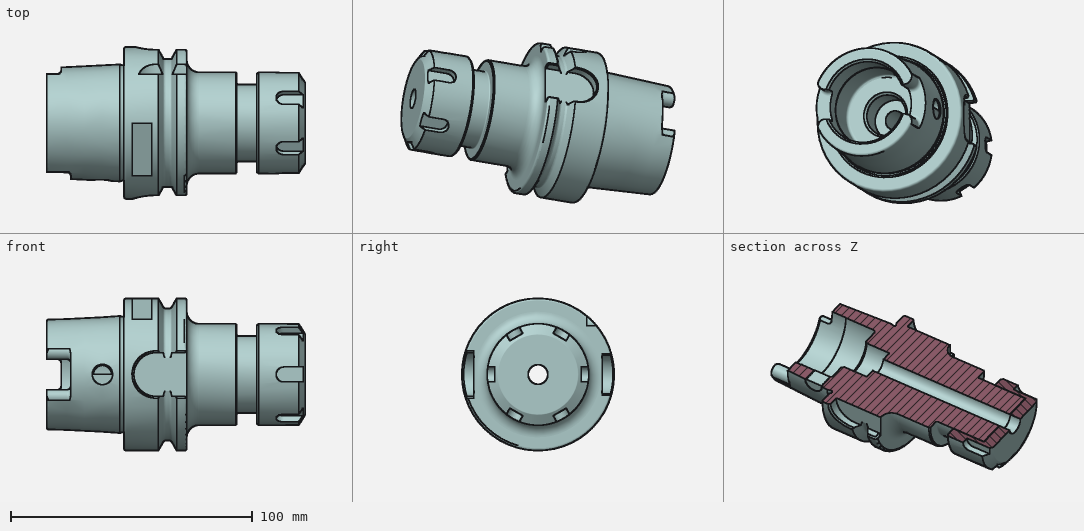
import cadquery as cq
import math


shank_length = 32.0
shank_end_radius = 22.72
shank_root_radius = 24.25
shank_end_fillet = 1.0
relief_start = -1.7
relief_end = -0.6
relief_radius = 23.9
face_groove_radius = 25.6
face_groove_floor_radius = 24.75
face_groove_depth = 0.5

flange_radius = 31.5
flange_width = 26.0
flange_fillet = 1.0
vee_center = 18.0
vee_bottom_radius = 27.36
vee_bottom_half_width = 1.4
vee_half_angle = 30.0
vee_bottom_fillet = 1.0
vee_rim_half_width = 3.8
vee_rim_depth = 0.4
vee_seam_angle = 10.0

body_radius = 21.0
body_end = 46.6
body_fillet = 5.0
body_chamfer = 0.5
neck_radius = 16.0
neck_fillet = 0.5

nut_start = 54.8
nut_end = 75.0
nut_radius = 21.0
nut_back_chamfer = 0.8
nut_cone_start = 72.2
nut_face_radius = 16.6
nut_face_fillet = 0.5
nut_wall = 5.0
nut_slot_count = 6
nut_slot_width = 6.2
nut_slot_start = 62.9
nut_slot_floor = 17.9

bore_mouth_radius = 17.0
bore_mouth_chamfer = 0.9
bore_step = -19.2
bore_radius = 16.86
bore_floor = -4.5
bore_floor_fillet = 1.15
seat_radius = 8.5
seat_depth = 12.0
seat_chamfer = 1.0
coolant_radius = 4.0

drive_half_width = 6.27
drive_edge_radius = 3.0
drive_floor_fillet = 1.5
front_drive_depth = 10.0
rear_drive_depth = 6.0

gripper_center = 13.1
gripper_floor = 26.5
front_gripper_width = 18.0
rear_gripper_width = 16.0
front_gripper_chamfer = 0.8
rear_gripper_chamfer = 0.5
notch_offset = 20.1
notch_radius = 8.0
flat_start = 3.5
flat_width = 7.9
flat_distance = 29.25
flat_angle = 21.8

access_position = -8.9
access_rim_radius = 4.2
access_rim_floor = 23.45
access_radius = 3.75

reach = 2 * flange_radius


def cylinder(radius, start, end):
    return cq.Workplane("YZ", origin=(start, 0, 0)).circle(radius).extrude(end - start)


def revolve_about_x(points):
    """Revolve a closed outline of (X, radius) points about the X axis."""
    return cq.Workplane("XY").polyline(points).close().revolve(360, (0, 0, 0), (1, 0, 0))


def make_shank():
    shank = revolve_about_x([
        (-shank_length, 0),
        (-shank_length, shank_end_radius),
        (relief_start, shank_root_radius),
        (relief_end, relief_radius),
        (face_groove_depth, relief_radius),
        (face_groove_depth, 0),
    ])
    return shank.faces("<X").edges().fillet(shank_end_fillet)


def gripper_slot(side, width):
    """Round-ended slot cutter on the +Y (side = 1) or -Y (side = -1) flank of the flange."""
    straight = reach - gripper_center
    plane = cq.Workplane("XZ", origin=(0, side * gripper_floor, 0))
    round_end = plane.center(gripper_center, 0).circle(width / 2).extrude(-side * reach)
    channel = (plane.center(gripper_center + straight / 2, 0)
               .rect(straight, width).extrude(-side * reach))
    return round_end.union(channel)


def slot_rim_edges(flange, side, width, end):
    """Edges where a gripper slot breaks out through the flange rim."""
    half = width / 2 + 0.1
    box = cq.selectors.BoxSelector(
        (gripper_center - half, side * (flange_radius - 2.0), -half),
        (end - 1.5 * flange_fillet, side * (flange_radius + 1), half))
    return flange.edges(box)


def vee_groove():
    """Ring cutter for the gripper groove, with rounded bottom corners and broken rims."""
    rise = flange_radius - vee_rim_depth - vee_bottom_radius
    shoulder_half_width = vee_bottom_half_width + rise * math.tan(math.radians(vee_half_angle))
    rim_slope = (vee_rim_half_width - shoulder_half_width) / vee_rim_depth
    clear_half_width = vee_rim_half_width + rim_slope * vee_rim_depth
    half_outline = [
        (vee_bottom_half_width, vee_bottom_radius),
        (shoulder_half_width, flange_radius - vee_rim_depth),
        (clear_half_width, flange_radius + vee_rim_depth),
    ]
    right = [(vee_center + half, radius) for half, radius in half_outline]
    left = [(vee_center - half, radius) for half, radius in reversed(half_outline)]
    ring = revolve_about_x(right + left)
    bottom = cq.selectors.BoxSelector(
        (vee_center - vee_bottom_half_width - 0.1, -flange_radius, -flange_radius),
        (vee_center + vee_bottom_half_width + 0.1, flange_radius, flange_radius))
    ring = ring.edges("%CIRCLE").edges(bottom).fillet(vee_bottom_fillet)
    return ring.rotate((0, 0, 0), (1, 0, 0), vee_seam_angle)


def orientation_notch():
    """Corner cut on the +Y +Z side: flat floor facing +Y, round-ended side wall facing +Z."""
    floor_plane = cq.Workplane("XZ", origin=(0, notch_offset, 0))
    round_end = (floor_plane.center(gripper_center, notch_offset + notch_radius)
                 .circle(notch_radius).extrude(-reach))
    straight = reach - gripper_center
    channel = (floor_plane
               .center(gripper_center + straight / 2, notch_offset + notch_radius)
               .rect(straight, 2 * notch_radius).extrude(-reach))
    return round_end.union(channel)


def marking_flat():
    """Cutter for the flat on the flange rim, leaning from +Z towards -Y."""
    return (cq.Workplane("XY", origin=(flat_start, 0, 0))
            .box(flat_width, reach, flange_radius, centered=(False, True, False))
            .translate((0, 0, flat_distance))
            .rotate((0, 0, 0), (1, 0, 0), flat_angle))


def face_groove():
    """Conical recess in the flange face around the root of the shank."""
    return revolve_about_x([
        (0, 0),
        (0, face_groove_radius),
        (face_groove_depth, face_groove_floor_radius),
        (face_groove_depth, 0),
    ])


def make_flange():
    flange = cylinder(flange_radius, 0, flange_width)
    flange = flange.edges().fillet(flange_fillet)
    flange = flange.cut(face_groove())
    for side, width, chamfer in (
        (-1, front_gripper_width, front_gripper_chamfer),
        (1, rear_gripper_width, rear_gripper_chamfer),
    ):
        flange = flange.cut(gripper_slot(side, width))
        flange = slot_rim_edges(flange, side, width, flange_width).chamfer(chamfer)
    return flange.cut(vee_groove()).cut(orientation_notch()).cut(marking_flat())


def make_body():
    """Collet body behind the flange, flared into it, with the neck that carries the nut."""
    flare_radius = body_radius + body_fillet
    flare_end = flange_width + body_fillet
    flare_mid = body_fillet * (1 - math.sqrt(0.5))
    neck_end = nut_end - nut_wall
    return (cq.Workplane("XY")
            .moveTo(face_groove_depth, 0)
            .lineTo(face_groove_depth, flare_radius)
            .lineTo(flange_width, flare_radius)
            .threePointArc((flange_width + flare_mid, body_radius + flare_mid), (flare_end, body_radius))
            .lineTo(body_end - body_chamfer, body_radius)
            .lineTo(body_end, body_radius - body_chamfer)
            .lineTo(body_end, neck_radius + neck_fillet)
            .radiusArc((body_end + neck_fillet, neck_radius), -neck_fillet)
            .lineTo(neck_end, neck_radius)
            .lineTo(neck_end, 0)
            .close()
            .revolve(360, (0, 0, 0), (1, 0, 0)))


def drive_slot(side, depth):
    """Drive slot cutter whose mouth is rounded into the shank's outside surface."""
    arc_y = math.sqrt((shank_end_radius - drive_edge_radius) ** 2
                      - (drive_half_width + drive_edge_radius) ** 2)
    arc_z = drive_half_width + drive_edge_radius
    rim_angle = math.atan2(arc_z, arc_y)
    rim_y = shank_end_radius * math.cos(rim_angle)
    rim_z = shank_end_radius * math.sin(rim_angle)
    middle_angle = (rim_angle - math.pi / 2) / 2
    mid_y = arc_y + drive_edge_radius * math.cos(middle_angle)
    mid_z = arc_z + drive_edge_radius * math.sin(middle_angle)
    outline = (cq.Workplane("YZ", origin=(-reach, 0, 0))
               .moveTo(0, -drive_half_width)
               .lineTo(side * arc_y, -drive_half_width)
               .threePointArc((side * mid_y, -mid_z), (side * rim_y, -rim_z))
               .lineTo(side * reach, -rim_z)
               .lineTo(side * reach, rim_z)
               .lineTo(side * rim_y, rim_z)
               .threePointArc((side * mid_y, mid_z), (side * arc_y, drive_half_width))
               .lineTo(0, drive_half_width)
               .close())
    slot = outline.extrude(reach - shank_length + depth)
    floor_corners = cq.selectors.BoxSelector((-reach, side * 1.0, -reach), (0, side * (rim_y + 1), reach))
    return slot.faces(">X").edges(floor_corners).fillet(drive_floor_fillet)


def access_hole():
    """Shallow round seat with a flat floor, whose upper half opens into the bore."""
    seat = (cq.Workplane("XZ", origin=(access_position, -access_rim_floor, 0))
            .circle(access_rim_radius).extrude(flange_radius))
    half_hole = (cq.Workplane("XZ", origin=(access_position, 0, 0))
                 .moveTo(-access_radius, 0)
                 .threePointArc((0, access_radius), (access_radius, 0))
                 .close().extrude(flange_radius))
    return seat.union(half_hole)


def bore():
    """Stepped bore from the shank mouth down to the coolant hole."""
    main = cylinder(bore_radius, -reach, bore_floor).faces(">X").edges().fillet(bore_floor_fillet)
    lip = cylinder(bore_mouth_radius, -reach, bore_step)
    mouth = revolve_about_x([
        (-shank_length, 0),
        (-shank_length, bore_mouth_radius + bore_mouth_chamfer),
        (-shank_length + bore_mouth_chamfer, bore_mouth_radius),
        (-shank_length + bore_mouth_chamfer, 0),
    ])
    seat = revolve_about_x([
        (bore_floor, 0),
        (bore_floor, seat_radius + seat_chamfer),
        (bore_floor + seat_chamfer, seat_radius),
        (bore_floor + seat_depth, seat_radius),
        (bore_floor + seat_depth, 0),
    ])
    coolant = cylinder(coolant_radius, 0, nut_end)
    return main.union(lip).union(mouth).union(seat).union(coolant)


def make_holder():
    holder = make_shank().union(make_flange()).union(make_body())
    holder = holder.cut(bore())
    holder = holder.cut(drive_slot(-1, front_drive_depth))
    holder = holder.cut(drive_slot(1, rear_drive_depth))
    return holder.cut(access_hole())


def nut_slot():
    """Spanner slot cutter on the -Y side, round at its closed end."""
    radius = nut_slot_width / 2
    plane = cq.Workplane("XZ", origin=(0, -nut_slot_floor, 0))
    round_end = plane.center(nut_slot_start + radius, 0).circle(radius).extrude(reach)
    straight = nut_end - nut_slot_start
    channel = (plane.center(nut_slot_start + radius + straight / 2, 0)
               .rect(straight, nut_slot_width).extrude(reach))
    return round_end.union(channel)


def make_nut():
    nut = revolve_about_x([
        (nut_start, 0),
        (nut_start, nut_radius - nut_back_chamfer),
        (nut_start + nut_back_chamfer, nut_radius),
        (nut_cone_start, nut_radius),
        (nut_end, nut_face_radius),
        (nut_end, 0),
    ])
    nut = nut.faces(">X").edges().fillet(nut_face_fillet)
    nut = nut.cut(cylinder(neck_radius, nut_start, nut_end - nut_wall))
    nut = nut.cut(cylinder(coolant_radius, nut_start, nut_end))
    for index in range(nut_slot_count):
        angle = 360 / nut_slot_count * index
        nut = nut.cut(nut_slot().rotate((0, 0, 0), (1, 0, 0), angle))
    return nut


holder = make_holder()
nut = make_nut()
result = cq.Compound.makeCompound([holder.val(), nut.val()])